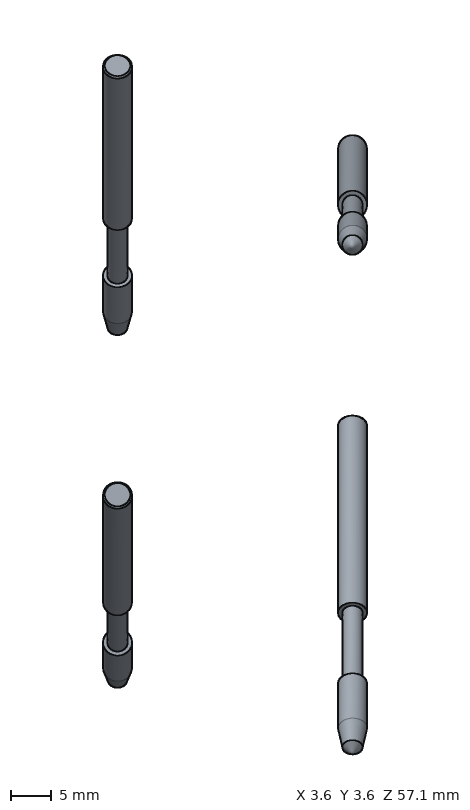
import cadquery as cq

total_length = 57.1
body_diameter = 3.6

barrel_bottom = 24.5
barrel_chamfer = 0.2

stem_diameter = 2.5
head_top = 12.3
taper_start = 4.55
point_diameter = 2.5
point_height = point_diameter / 2

body_radius = body_diameter / 2
stem_radius = stem_diameter / 2
point_radius = point_diameter / 2


def make_barrel():
    """Plain cylinder with a chamfered top rim."""
    return (
        cq.Workplane("XY", origin=(0, 0, barrel_bottom))
        .circle(body_radius)
        .extrude(total_length - barrel_bottom)
        .faces(">Z")
        .chamfer(barrel_chamfer)
    )


def make_plunger():
    """Turned stem, head, taper and conical point; the stem butts against the barrel."""
    half_profile = [
        (0, 0),
        (point_radius, point_height),
        (body_radius, taper_start),
        (body_radius, head_top),
        (stem_radius, head_top),
        (stem_radius, barrel_bottom),
        (0, barrel_bottom),
    ]
    return cq.Workplane("XZ").polyline(half_profile).close().revolve(360, (0, 0), (0, 1))


barrel = make_barrel()
plunger = make_plunger()

result = cq.Compound.makeCompound([barrel.val(), plunger.val()])